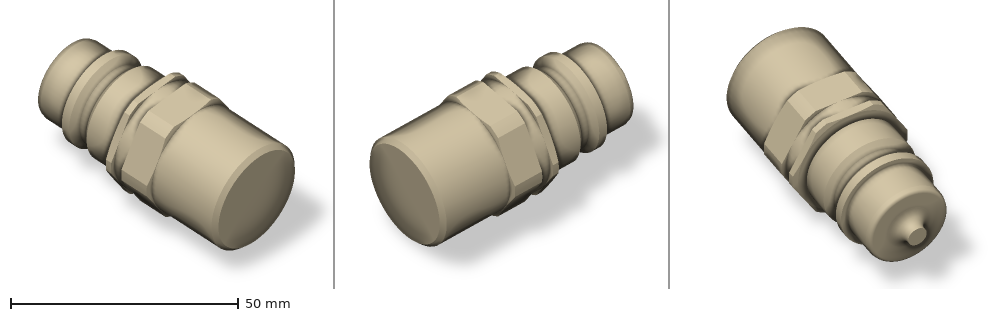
import cadquery as cq
import math

LENGTH = 60.7

TIP_RADIUS = 2.35
TIP_STRAIGHT = 0.65
TIP_FLARE_RADIUS = 3.05

NOSE_FACE_X = TIP_STRAIGHT + TIP_FLARE_RADIUS
NOSE_RADIUS = 10.2
NOSE_TAPER_END_X = 5.15
NOSE_TAPER_ANGLE = math.radians(15)
NOSE_ROUND_RADIUS = 0.8

COLLAR_RADIUS = 11.85
COLLAR_FRONT_X = 13.05
COLLAR_ROOT_FILLET = 0.3
GROOVE_START_X = 15.25
GROOVE_FLANK = COLLAR_RADIUS - NOSE_RADIUS
GROOVE_FLOOR_WIDTH = 2.0
BODY_END_X = 27.75

NECK_RADIUS = 10.8
NECK_CONE_RADIUS = 11.0
NECK_CONE_END_X = 28.1

HEX_SIDES = 6
HEX_ACROSS_FLATS = 27.0
HEX_CORNER_RADIUS = 14.75
HEX_FRONT_X = 28.65
HEX_GROOVE_START_X = 30.6
HEX_GROOVE_END_X = 33.7
HEX_REAR_X = 41.7
HEX_BEVEL_LENGTH = 0.35
HEX_INSCRIBED_RADIUS = HEX_ACROSS_FLATS / 2

BARREL_RADIUS = 13.4
BARREL_CHAMFER = 1.1


def revolve_about_x(outline):
    """Close an XY outline drawn above the X axis and revolve it fully."""
    return outline.close().revolve(360, (0, 0, 0), (1, 0, 0))


def plug_end():
    """Tip, nose, locking collar, V-groove and neck, up to the hexagon."""
    half = math.sqrt(0.5)
    flare_center_r = TIP_RADIUS + TIP_FLARE_RADIUS
    flare_middle = (
        TIP_STRAIGHT + TIP_FLARE_RADIUS * half,
        flare_center_r - TIP_FLARE_RADIUS * half,
    )

    round_center_x = NOSE_FACE_X + NOSE_ROUND_RADIUS
    taper_start_x = round_center_x - NOSE_ROUND_RADIUS * math.sin(NOSE_TAPER_ANGLE)
    taper_start_r = NOSE_RADIUS - (NOSE_TAPER_END_X - taper_start_x) * math.tan(NOSE_TAPER_ANGLE)
    round_center_r = taper_start_r - NOSE_ROUND_RADIUS * math.cos(NOSE_TAPER_ANGLE)
    round_middle = (
        round_center_x - NOSE_ROUND_RADIUS * half,
        round_center_r + NOSE_ROUND_RADIUS * half,
    )

    root_start_x = COLLAR_FRONT_X - COLLAR_ROOT_FILLET
    root_middle = (
        root_start_x + COLLAR_ROOT_FILLET * half,
        NOSE_RADIUS + COLLAR_ROOT_FILLET * (1 - half),
    )

    floor_start_x = GROOVE_START_X + GROOVE_FLANK
    floor_end_x = floor_start_x + GROOVE_FLOOR_WIDTH

    outline = (
        cq.Workplane("XY")
        .lineTo(0, TIP_RADIUS)
        .lineTo(TIP_STRAIGHT, TIP_RADIUS)
        .threePointArc(flare_middle, (NOSE_FACE_X, flare_center_r))
        .lineTo(NOSE_FACE_X, round_center_r)
        .threePointArc(round_middle, (taper_start_x, taper_start_r))
        .lineTo(NOSE_TAPER_END_X, NOSE_RADIUS)
        .lineTo(root_start_x, NOSE_RADIUS)
        .threePointArc(root_middle, (COLLAR_FRONT_X, NOSE_RADIUS + COLLAR_ROOT_FILLET))
        .lineTo(COLLAR_FRONT_X, COLLAR_RADIUS)
        .lineTo(GROOVE_START_X, COLLAR_RADIUS)
        .lineTo(floor_start_x, NOSE_RADIUS)
        .lineTo(floor_end_x, NOSE_RADIUS)
        .lineTo(floor_end_x + GROOVE_FLANK, COLLAR_RADIUS)
        .lineTo(BODY_END_X, COLLAR_RADIUS)
        .lineTo(BODY_END_X, NECK_CONE_RADIUS)
        .lineTo(NECK_CONE_END_X, NECK_RADIUS)
        .lineTo(HEX_FRONT_X, NECK_RADIUS)
        .lineTo(HEX_FRONT_X, 0)
    )
    return revolve_about_x(outline)


def hexagon():
    """Hexagon with rounded corners, bevelled outer ends and a round groove."""
    prism = (
        cq.Workplane("YZ", origin=(HEX_FRONT_X, 0, 0))
        .transformed(rotate=(0, 0, 180 / HEX_SIDES))
        .polygon(HEX_SIDES, HEX_ACROSS_FLATS, circumscribed=True)
        .extrude(HEX_REAR_X - HEX_FRONT_X)
    )
    envelope = revolve_about_x(
        cq.Workplane("XY")
        .moveTo(HEX_FRONT_X, 0)
        .lineTo(HEX_FRONT_X, HEX_INSCRIBED_RADIUS)
        .lineTo(HEX_FRONT_X + HEX_BEVEL_LENGTH, HEX_CORNER_RADIUS)
        .lineTo(HEX_GROOVE_START_X, HEX_CORNER_RADIUS)
        .lineTo(HEX_GROOVE_START_X, HEX_INSCRIBED_RADIUS)
        .lineTo(HEX_GROOVE_END_X, HEX_INSCRIBED_RADIUS)
        .lineTo(HEX_GROOVE_END_X, HEX_CORNER_RADIUS)
        .lineTo(HEX_REAR_X - HEX_BEVEL_LENGTH, HEX_CORNER_RADIUS)
        .lineTo(HEX_REAR_X, HEX_INSCRIBED_RADIUS)
        .lineTo(HEX_REAR_X, 0)
    )
    return prism.intersect(envelope)


def barrel():
    """Plain rear cylinder with a chamfered end."""
    return (
        cq.Workplane("YZ", origin=(HEX_REAR_X, 0, 0))
        .circle(BARREL_RADIUS)
        .extrude(LENGTH - HEX_REAR_X)
        .faces(">X")
        .chamfer(BARREL_CHAMFER)
    )


result = plug_end().union(hexagon()).union(barrel())